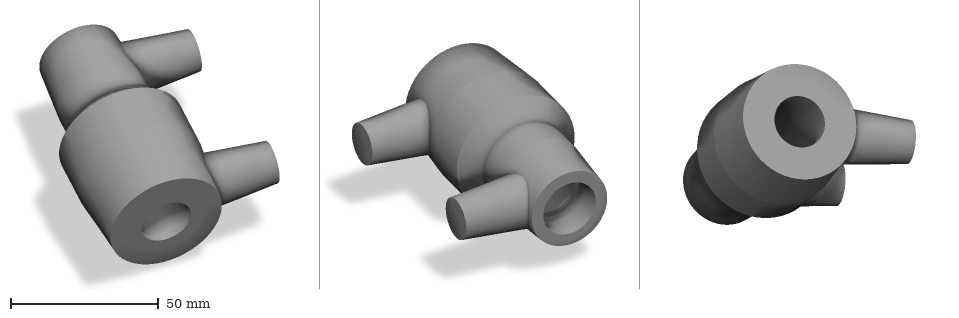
import cadquery as cq
import math

LENGTH = 81.0
BODY_DIAMETER = 45.0
NECK_DIAMETER = 32.0
SMALL_END_DIAMETER = 28.8
LARGE_END_DIAMETER = 40.4
SMALL_TAPER_LENGTH = 21.0
NECK_END_X = 32.6
LARGE_TAPER_START_X = 57.0
SHOULDER_LENGTH = (BODY_DIAMETER - NECK_DIAMETER) / 2

BORE_DIAMETER = 18.0
SOCKET_DIAMETER = 20.0
SOCKET_STRAIGHT_DEPTH = 9.3
SOCKET_DEPTH = 14.0
SOCKET_FLOOR_DIAMETER = 22.0

TERMINAL_TIP_DIAMETER = 15.0
TERMINAL_DRAFT = math.radians(5.3)
TERMINAL_END_OFFSET = 12.1
SMALL_TERMINAL_TIP_Y = 37.0
LARGE_TERMINAL_TIP_Y = 43.0


def revolve_about_x(profile):
    """Revolve a closed (x, radius) outline a full turn about the X axis."""
    return cq.Workplane("XY").polyline(profile).close().revolve(360, (0, 0), (1, 0))


def make_body():
    """Revolve the outer profile of the reducer about the X axis."""
    profile = [
        (0, 0),
        (0, SMALL_END_DIAMETER / 2),
        (SMALL_TAPER_LENGTH, NECK_DIAMETER / 2),
        (NECK_END_X, NECK_DIAMETER / 2),
        (NECK_END_X + SHOULDER_LENGTH, BODY_DIAMETER / 2),
        (LARGE_TAPER_START_X, BODY_DIAMETER / 2),
        (LENGTH, LARGE_END_DIAMETER / 2),
        (LENGTH, 0),
    ]
    return revolve_about_x(profile)


def make_terminal(axis_x, tip_y):
    """Make a solid cone from the body axis out to its flat tip."""
    tip_radius = TERMINAL_TIP_DIAMETER / 2
    root_radius = tip_radius + tip_y * math.tan(TERMINAL_DRAFT)
    cone = cq.Solid.makeCone(root_radius, tip_radius, tip_y, cq.Vector(axis_x, 0, 0), cq.Vector(0, 1, 0))
    return cq.Workplane(obj=cone)


def make_through_bore():
    """Make the cylinder that opens the body from end to end."""
    return cq.Workplane("YZ").circle(BORE_DIAMETER / 2).extrude(LENGTH)


def make_socket():
    """Revolve the small-end socket: straight at the mouth, then flaring to a flat floor."""
    profile = [
        (0, 0),
        (0, SOCKET_DIAMETER / 2),
        (SOCKET_STRAIGHT_DEPTH, SOCKET_DIAMETER / 2),
        (SOCKET_DEPTH, SOCKET_FLOOR_DIAMETER / 2),
        (SOCKET_DEPTH, 0),
    ]
    return revolve_about_x(profile)


result = (
    make_body()
    .union(make_terminal(TERMINAL_END_OFFSET, SMALL_TERMINAL_TIP_Y))
    .union(make_terminal(LENGTH - TERMINAL_END_OFFSET, LARGE_TERMINAL_TIP_Y))
    .cut(make_through_bore())
    .cut(make_socket())
)